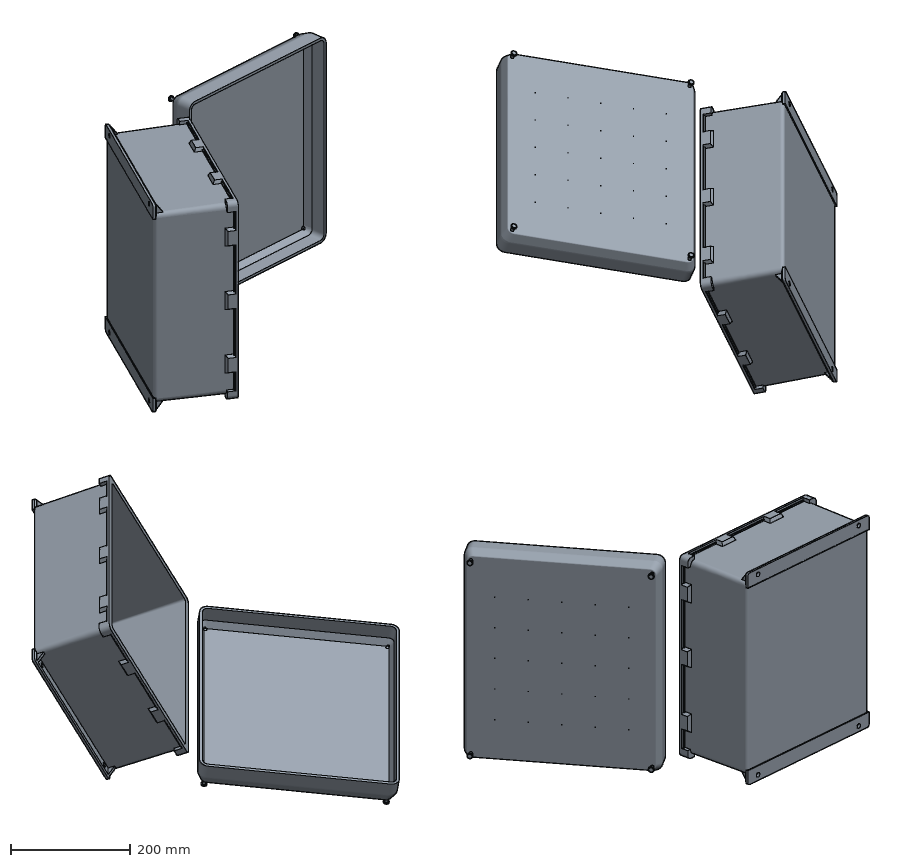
import cadquery as cq
import math

overall_length = 570.0
overall_depth = 441.5

wall = 5.0

flange_width = 305.5
flange_height = 394.0
flange_thickness = 7.0
flange_overlap = 27.5
flange_corner_radius = 5.0
flange_edge_chamfer = 2.0
flange_hole_diameter = 8.0
flange_hole_x = 126.5
flange_hole_z = 186.5

back_y = 2.0
back_edge_radius = 6.0
tub_width_back = flange_width
tub_height_back = 357.5
tub_draft_degrees = 0.8
tub_corner_radius = 8.0

rim_front_y = 146.0
rim_width = 323.0
rim_height = 374.0
rim_thickness = 4.5
rim_corner_radius = 8.5
shoulder_overhang = 3.0
shoulder_depth = 2.0
corner_post_size = 17.0
corner_post_depth = 19.0

tab_width = 34.0
tab_drop = 16.5
tab_pitch = 120.0
tab_side_inset = 3.5

gusset_thickness = 5.0
gusset_x = 145.0
gusset_length = 12.0

tub_length = rim_front_y - back_y
tub_spread = tub_length * math.tan(math.radians(tub_draft_degrees))
rim_overhang = (rim_width - tub_width_back) / 2 - tub_spread
rim_back_y = rim_front_y - rim_thickness

lid_opening_degrees = 122
lid_width = 338.0
lid_height = 388.5
lid_corner_radius = 15.0
lid_depth = 45.0
skirt_depth = 27.5
crown_inset = 7.5
crown_corner_radius = 11.5
skirt_blend_radius = 9.0
face_edge_radius = 1.5
dot_pitch = 57.0
dots_per_side = 5
dot_diameter = 0.5
dot_depth = 0.5

screw_inset = 15.0
shank_diameter = 5.5
head_diameter = 10.0
head_thickness = 3.0
head_top = 57.5
head_chamfer = 1.0

lid_tilt = math.radians(180 - lid_opening_degrees)
screw_u = lid_width / 2 - screw_inset
screw_v = lid_height / 2 - screw_inset
head_rim_radius = head_diameter / 2 - head_chamfer
screw_reach = head_top * math.sin(lid_tilt) + (screw_u + head_rim_radius) * math.cos(lid_tilt)
lid_x = rim_width / 2 - overall_length + screw_reach
lid_y = overall_depth - lid_width / 2 * math.sin(lid_tilt)

lid_place = cq.Plane(
    origin=(lid_x, lid_y, 0),
    xDir=(-math.cos(lid_tilt), math.sin(lid_tilt), 0),
    normal=(-math.sin(lid_tilt), -math.cos(lid_tilt), 0),
).location


def plane_facing_front(y):
    """Workplane at the given Y that faces +Y; its local axes run along +X and -Z."""
    return cq.Workplane("XZ", origin=(0, y, 0)).transformed(rotate=(180, 0, 0))


def rounded_prism(y_start, depth, width, height, radius):
    """Rectangular prism along +Y with its four long edges rounded."""
    return plane_facing_front(y_start).rect(width, height).extrude(depth).edges("|Y").fillet(radius)


def tub_form(inset):
    """Drafted block that widens towards the open front, moved inwards by inset at the back and sides."""
    return (
        plane_facing_front(back_y + inset)
        .sketch()
        .rect(tub_width_back - 2 * inset, tub_height_back - 2 * inset)
        .vertices()
        .fillet(tub_corner_radius - inset)
        .finalize()
        .extrude(tub_length, taper=-tub_draft_degrees)
    )


def make_rim():
    """Lip around the open front, a narrower shoulder under it and a deeper post at each corner."""
    lip = rounded_prism(rim_back_y, rim_thickness, rim_width, rim_height, rim_corner_radius)
    shoulder = rounded_prism(
        rim_back_y - shoulder_depth,
        shoulder_depth,
        rim_width - 2 * (rim_overhang - shoulder_overhang),
        rim_height - 2 * (rim_overhang - shoulder_overhang),
        rim_corner_radius,
    )
    post_y = rim_front_y - corner_post_depth
    posts = rounded_prism(post_y, corner_post_depth, rim_width, rim_height, rim_corner_radius)
    corner_blocks = (
        plane_facing_front(post_y)
        .rarray(rim_width - corner_post_size, rim_height - corner_post_size, 2, 2)
        .rect(corner_post_size, corner_post_size)
        .extrude(corner_post_depth)
    )
    return lip.union(shoulder).union(posts.intersect(corner_blocks))


def make_tab(outward, across, offset):
    """Tapered latch tab under the lip, standing out to the rim edge.

    outward: unit vector away from the box; across: distance from the centre line to the rim edge;
    offset: place along the side.
    """
    outward = cq.Vector(*outward)
    along = cq.Vector(0, 1, 0).cross(outward)
    length = tab_drop + rim_thickness
    middle_y = rim_front_y - length / 2
    middle = outward * (across - rim_overhang) + along * offset + cq.Vector(0, middle_y, 0)
    return (
        cq.Workplane(cq.Plane(origin=middle, xDir=along, normal=outward))
        .rect(tab_width, length)
        .workplane(offset=rim_overhang)
        .center(0, tab_side_inset / 2)
        .rect(tab_width - 2 * tab_side_inset, length - tab_side_inset)
        .loft(ruled=True)
    )


def make_flange(side):
    """Mounting strip across the back; side is +1 for the top edge and -1 for the bottom edge."""
    middle_z = side * (flange_height - flange_overlap) / 2
    strip = (
        plane_facing_front(0)
        .center(0, -middle_z)
        .rect(flange_width, flange_overlap)
        .extrude(flange_thickness)
    )
    outer_face = ">Z" if side > 0 else "<Z"
    strip = strip.faces(outer_face).edges("|Y").fillet(flange_corner_radius)
    return strip.faces(">Y").edges(outer_face).chamfer(flange_edge_chamfer)


def make_gusset(side, x):
    """Triangular rib between a flange and the tub wall."""
    wall_z = side * (tub_height_back / 2 - wall)
    tip_z = side * (flange_height / 2 - flange_edge_chamfer)
    root_z = side * tub_height_back / 2
    return (
        cq.Workplane("YZ", origin=(x - gusset_thickness / 2, 0, 0))
        .moveTo(back_y, wall_z)
        .lineTo(flange_thickness + gusset_length, wall_z)
        .lineTo(flange_thickness + gusset_length, root_z)
        .lineTo(flange_thickness, tip_z)
        .lineTo(back_y, tip_z)
        .close()
        .extrude(gusset_thickness)
    )


def make_box():
    """Hollow box with its rim, latch tabs, mounting flanges and gussets."""
    box = tub_form(0).edges("<Y").fillet(back_edge_radius).union(make_rim())
    for side in (1, -1):
        for row in (-1, 0, 1):
            box = box.union(make_tab((side, 0, 0), rim_width / 2, row * tab_pitch))
        for row in (-0.5, 0.5):
            box = box.union(make_tab((0, 0, side), rim_height / 2, row * tab_pitch))
        box = box.union(make_flange(side))
        for x in (-gusset_x, gusset_x):
            box = box.union(make_gusset(side, x))
    holes = (
        plane_facing_front(0)
        .rarray(2 * flange_hole_x, 2 * flange_hole_z, 2, 2)
        .circle(flange_hole_diameter / 2)
        .extrude(flange_thickness)
    )
    return box.cut(tub_form(wall)).cut(holes)


def lid_section(height_above_opening, inset, corner_radius):
    """Rounded rectangle across the lid, moved inwards by inset on all four sides."""
    return (
        cq.Sketch()
        .rect(lid_width - 2 * inset, lid_height - 2 * inset)
        .vertices()
        .fillet(corner_radius)
        .moved(cq.Location(cq.Vector(0, 0, height_above_opening)))
    )


def lid_form(inset):
    """Straight skirt and tapered crown, moved inwards by inset on every side but the opening."""
    skirt_section = lid_section(skirt_depth, inset, lid_corner_radius - inset)
    face_section = lid_section(lid_depth - inset, inset + crown_inset, crown_corner_radius - inset)
    opening_section = lid_section(0, inset, lid_corner_radius - inset)
    skirt = cq.Workplane().placeSketch(opening_section).extrude(skirt_depth)
    crown = cq.Workplane().placeSketch(skirt_section, face_section).loft(ruled=True)
    return skirt.union(crown)


def make_lid():
    """Hollow lid in its own frame, with a grid of small dots in its face and four screw holes."""
    lid = lid_form(0)
    lid = lid.faces(">Z").edges().fillet(face_edge_radius)
    blend_edges = cq.selectors.BoxSelector(
        (-lid_width, -lid_height, skirt_depth - face_edge_radius),
        (lid_width, lid_height, skirt_depth + face_edge_radius),
    )
    lid = lid.edges(blend_edges).fillet(skirt_blend_radius)
    lid = lid.cut(lid_form(wall))
    dots = (
        cq.Workplane()
        .workplane(offset=lid_depth - dot_depth)
        .rarray(dot_pitch, dot_pitch, dots_per_side, dots_per_side)
        .circle(dot_diameter / 2)
        .extrude(dot_depth)
    )
    screw_holes = (
        cq.Workplane()
        .rarray(2 * screw_u, 2 * screw_v, 2, 2)
        .circle(shank_diameter / 2)
        .extrude(lid_depth)
    )
    return lid.cut(dots).cut(screw_holes)


def make_screw(u, v):
    """Screw backed out of the lid, its shank filling the hole through the lid face."""
    shank_start = lid_depth - wall
    base = cq.Workplane().center(u, v)
    shank = base.workplane(offset=shank_start).circle(shank_diameter / 2).extrude(head_top - shank_start)
    head = (
        base.workplane(offset=head_top - head_thickness)
        .circle(head_diameter / 2)
        .extrude(head_thickness)
        .faces(">Z")
        .chamfer(head_chamfer)
    )
    return shank.union(head)


box = make_box()
lid = make_lid().val().moved(lid_place)
screws = []
for u in (-screw_u, screw_u):
    for v in (-screw_v, screw_v):
        screws.append(make_screw(u, v).val().moved(lid_place))

result = cq.Compound.makeCompound([box.val(), lid, *screws])